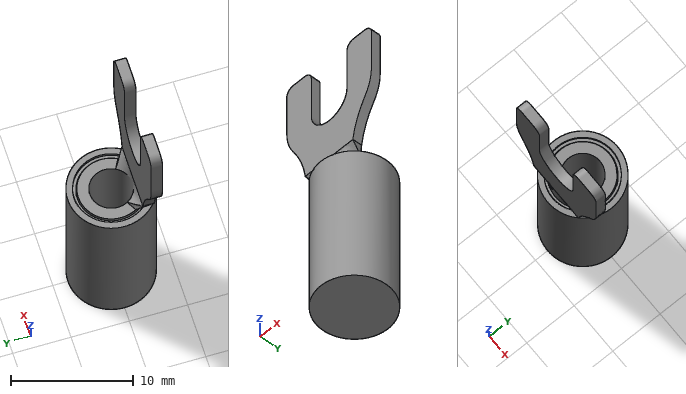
import cadquery as cq
import math

sleeve_diameter = 7.43
sleeve_height = 14.4
sleeve_bore_diameter = 5.78
mouth_diameter = 6.33
mouth_depth = 0.27
sleeve_floor = 1.0

barrel_diameter = 5.62
barrel_bore_diameter = 3.65
barrel_recess = 0.08
barrel_top = sleeve_height - barrel_recess
clearance_depth = 1.0

total_height = 27.03
tongue_thickness = (barrel_diameter - barrel_bore_diameter) / 2
tongue_front = -barrel_diameter / 2
tongue_back = tongue_front + tongue_thickness
tongue_base = 15.4
fork_width = 10.3
base_width = 5.78
slot_width = 4.32
slot_center_height = 21.9
prong_corner_radius = 0.8
shoulder_height = 22.03

shoulder_mid = (4.95, 20.6)
flank_joint = (4.32, 19.27)
waist_mid = (3.4, 17.4)

neck_angle = 28.5


def cylinder(diameter, bottom, top):
    return cq.Workplane("XY").workplane(offset=bottom).circle(diameter / 2).extrude(top - bottom)


def polar(radius, degrees):
    angle = math.radians(degrees)
    return (radius * math.cos(angle), radius * math.sin(angle))


def make_barrel_and_sleeve():
    body = cylinder(sleeve_diameter, 0, sleeve_height)
    body = body.cut(cylinder(sleeve_bore_diameter, barrel_top - clearance_depth, sleeve_height))
    mouth = cylinder(mouth_diameter, sleeve_height - mouth_depth, sleeve_height)
    body = body.cut(mouth)
    body = body.union(cylinder(barrel_diameter, sleeve_floor, barrel_top))
    return body.cut(cylinder(barrel_bore_diameter, sleeve_floor, barrel_top))


def make_neck():
    outer = barrel_diameter / 2
    inner = barrel_bore_diameter / 2
    left = 180 + neck_angle
    right = 360 - neck_angle
    return (
        cq.Workplane("XY").workplane(offset=barrel_top)
        .moveTo(*polar(outer, left))
        .threePointArc((0, -outer), polar(outer, right))
        .lineTo(*polar(inner, right))
        .threePointArc((0, -inner), polar(inner, left))
        .close()
        .workplane(offset=tongue_base - barrel_top)
        .moveTo(-base_width / 2, tongue_front)
        .lineTo(base_width / 2, tongue_front)
        .lineTo(base_width / 2, tongue_back)
        .lineTo(-base_width / 2, tongue_back)
        .close()
        .loft(ruled=True)
    )


def mirrored(point):
    return (-point[0], point[1])


def make_tongue():
    half_base = base_width / 2
    half_fork = fork_width / 2
    shoulder = (half_fork, shoulder_height)
    blank = (
        cq.Workplane("XZ", origin=(0, tongue_back, 0))
        .moveTo(-half_base, tongue_base)
        .lineTo(half_base, tongue_base)
        .threePointArc(waist_mid, flank_joint)
        .threePointArc(shoulder_mid, shoulder)
        .lineTo(half_fork, total_height)
        .lineTo(-half_fork, total_height)
        .lineTo(*mirrored(shoulder))
        .threePointArc(mirrored(shoulder_mid), mirrored(flank_joint))
        .threePointArc(mirrored(waist_mid), (-half_base, tongue_base))
        .close()
        .extrude(tongue_thickness)
    )
    half_slot = slot_width / 2
    slot = (
        cq.Workplane("XZ", origin=(0, tongue_back, 0))
        .moveTo(-half_slot, total_height)
        .lineTo(-half_slot, slot_center_height)
        .threePointArc((0, slot_center_height - half_slot), (half_slot, slot_center_height))
        .lineTo(half_slot, total_height)
        .close()
        .extrude(tongue_thickness)
    )
    return blank.cut(slot).faces(">Z").edges("|Y").fillet(prong_corner_radius)


result = make_barrel_and_sleeve().union(make_neck()).union(make_tongue())